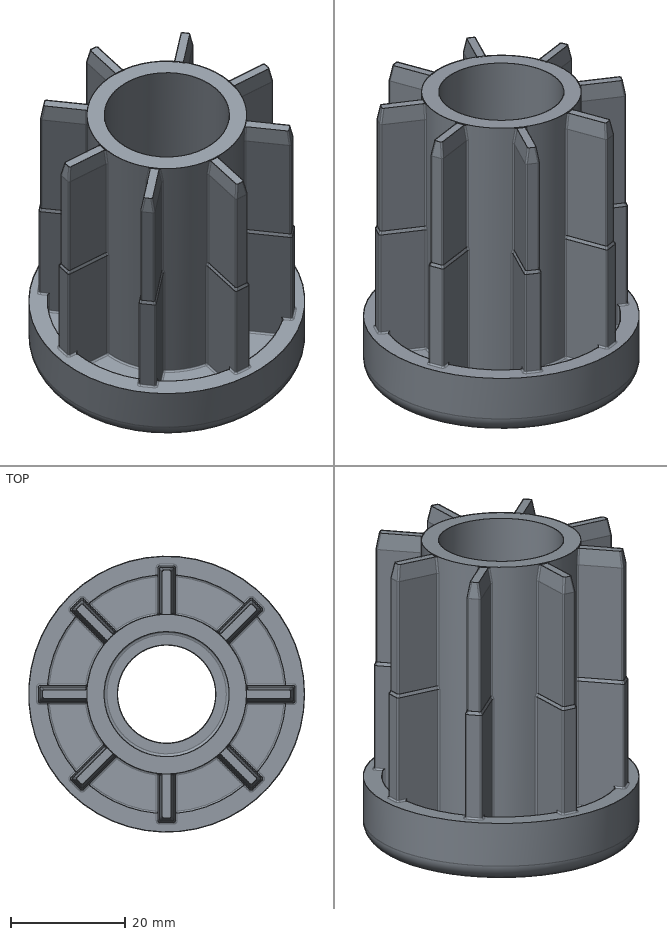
import cadquery as cq
import math

height = 55.0
flange_radius = 24.15
flange_height = 11.0
flange_bottom_fillet = 3.0
tube_radius = 13.95

bore_radius = 10.95
bore_corner_fillet = 0.5
hole_radius = 8.6

recess_radius = 20.9
floor_height = 7.0

fin_count = 8
fin_reach = 22.45
fin_thickness = 3.0
fin_bottom = floor_height / 2
fin_step_bottom = 30.35
fin_step_top = 30.95
fin_step_inset = 0.25
fin_tip_bottom = 51.9
fin_tip_inset = 0.5
fin_top = 54.85
fin_root = (bore_radius + tube_radius) / 2

corner_fillet = 0.3

tolerance = 0.01


def make_body():
    flange = (
        cq.Workplane("XY")
        .circle(flange_radius)
        .extrude(flange_height)
        .faces("<Z")
        .edges()
        .fillet(flange_bottom_fillet)
    )
    recess = (
        cq.Workplane("XY", origin=(0, 0, floor_height))
        .circle(recess_radius)
        .extrude(height)
    )
    tube = cq.Workplane("XY").circle(tube_radius).extrude(height)
    return flange.cut(recess).union(tube)


def fin_section(z, inset):
    """Outline of a fin pointing along +X, with rounded outer corners."""
    half = fin_thickness / 2 - inset
    tip = fin_reach - inset
    r = corner_fillet
    bulge = r * (1 - math.sqrt(0.5))
    return (
        cq.Workplane("XY", origin=(0, 0, z))
        .moveTo(fin_root, -half)
        .lineTo(tip - r, -half)
        .threePointArc((tip - bulge, -half + bulge), (tip, -half + r))
        .lineTo(tip, half - r)
        .threePointArc((tip - bulge, half - bulge), (tip - r, half))
        .lineTo(fin_root, half)
        .close()
        .val()
    )


def make_fin():
    top_inset = fin_step_inset + fin_tip_inset
    sections = [
        fin_section(fin_bottom, 0),
        fin_section(fin_step_bottom, 0),
        fin_section(fin_step_top, fin_step_inset),
        fin_section(fin_tip_bottom, fin_step_inset),
        fin_section(fin_top, top_inset),
    ]
    return cq.Workplane(cq.Solid.makeLoft(sections, True))


def make_bore():
    hole = cq.Workplane("XY").circle(hole_radius).extrude(height)
    bore = (
        cq.Workplane("XY", origin=(0, 0, floor_height))
        .circle(bore_radius)
        .extrude(height)
        .faces("<Z")
        .edges()
        .fillet(bore_corner_fillet)
    )
    return hole.union(bore)


def is_inner_corner(edge):
    """True for the corners where fins, tube, recess floor, recess wall and flange top meet."""
    start_z = edge.startPoint().z
    end_z = edge.endPoint().z
    middle = edge.positionAt(0.5)
    radius = math.hypot(middle.x, middle.y)

    if abs(start_z - end_z) < tolerance:
        on_floor = abs(start_z - floor_height) < tolerance
        on_flange_top = abs(start_z - flange_height) < tolerance
        around_fin_foot = recess_radius + tolerance < radius < flange_radius - tolerance
        return on_floor or (on_flange_top and around_fin_foot)

    on_recess_wall = abs(radius - recess_radius) < tolerance
    on_tube = abs(radius - tube_radius) < tolerance
    beside_fin = max(start_z, end_z) < fin_top + tolerance
    return on_recess_wall or (on_tube and beside_fin)


part = make_body()
fin = make_fin()
for i in range(fin_count):
    part = part.union(fin.rotate((0, 0, 0), (0, 0, 1), i * 360 / fin_count))

inner_corners = [edge for edge in part.edges().vals() if is_inner_corner(edge)]
part = part.newObject(inner_corners).fillet(corner_fillet)

result = part.cut(make_bore()).solids()